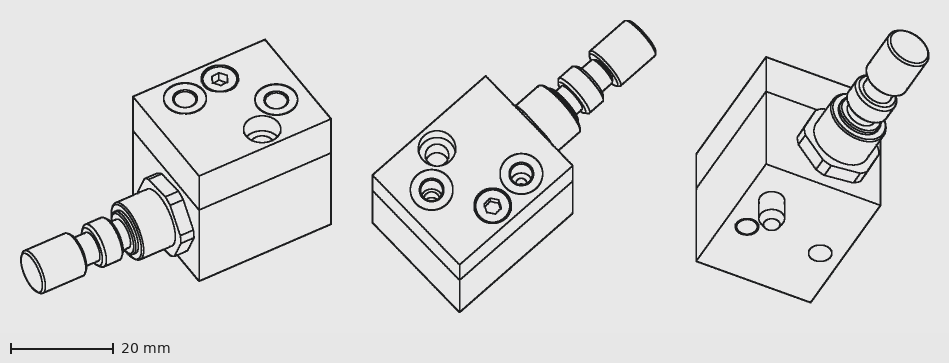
import cadquery as cq
import math


OVERALL_LENGTH = 61.9
HEX_SIDES = 6

BLOCK_WIDTH = 25.0
BLOCK_DEPTH = 30.0
BODY_HEIGHT = 20.0
PLATE_THICKNESS = 9.55
BLOCK_TOP = BODY_HEIGHT + PLATE_THICKNESS

MOUNT_SIDE_INSET = 4.5
MOUNT_Y = 17.0
MOUNT_DIA = 4.5
COUNTERBORE_DIA = 7.25
COUNTERBORE_DEPTH = 4.2
SCREW_POINT = (MOUNT_SIDE_INSET, MOUNT_Y)
MOUNT_POINTS = [SCREW_POINT, (BLOCK_WIDTH - MOUNT_SIDE_INSET, MOUNT_Y)]

FRONT_PORT = (5.6, 8.5)
BACK_PORT = (15.0, 23.5)
PORT_PASSAGES = [(FRONT_PORT, 2.1), (BACK_PORT, 3.1)]
PORT_RECESS_DIA = 8.3
PORT_RECESS_DEPTH = 0.2
PORT_BORE_DIA = 4.3
PORT_BORE_DEPTH = 6.0
PORT_CHAMFER = 0.25

PIN_DIA = 5.0
PIN_LENGTH = 6.55
PIN_TIP_DIA = 3.2
PIN_TAPER_LENGTH = 1.7

HEAD_DIA = 7.0
HEAD_SINK = 0.2
HEAD_HEIGHT = COUNTERBORE_DEPTH - HEAD_SINK
HEAD_CHAMFER = 0.2
SHANK_DIA = 4.0
SOCKET_ACROSS_FLATS = 3.0
SOCKET_TURN = 35.0
SOCKET_DEPTH = 2.0
SOCKET_CONE_DEPTH = 0.9

AXIS_X = 15.0
AXIS_Z = 10.5
NUT_THICKNESS = 3.0
NUT_ACROSS_FLATS = 15.0
NUT_CORNER_DIA = 16.3
NUT_TURN = 7.0

SLEEVE_DIA = 12.1
SLEEVE_END = 10.45
SLEEVE_CHAMFER = 0.3
BUTTON_DIA = 9.05
STEM_DIA = 6.05
COLLAR_END = 11.35
COLLAR_CHAMFER = 0.3
RING_START = 13.55
RING_END = 18.25
RING_CHAMFER = 0.55
STEM_END = 21.9
STEM_CHAMFER = 0.45
BUTTON_END = OVERALL_LENGTH - BLOCK_DEPTH
BUTTON_CHAMFER = 0.45


def cylinder(point, bottom, height, diameter):
    """Upright cylinder centred on an (x, y) point."""
    return cq.Workplane("XY", origin=(*point, bottom)).circle(diameter / 2).extrude(height)


def plunger_step(start, end, diameter):
    """Round length of the plunger between two distances from the front face."""
    plane = cq.Workplane("XZ", origin=(AXIS_X, -start, AXIS_Z))
    return plane.circle(diameter / 2).extrude(end - start)


def hexagon_across_corners(across_flats):
    """Corner-to-corner diameter of a hexagon with the given width across flats."""
    return across_flats / math.cos(math.pi / HEX_SIDES)


def cut_port(plate, point, passage_dia):
    """Shallow seal recess, chamfered bore and a narrow passage through the plate."""
    mouth_z = BLOCK_TOP - PORT_RECESS_DEPTH
    mouth = (
        cq.Workplane("XY", origin=(*point, mouth_z))
        .circle(PORT_BORE_DIA / 2 + PORT_CHAMFER)
        .workplane(offset=-PORT_CHAMFER)
        .circle(PORT_BORE_DIA / 2)
        .loft()
    )
    plate = plate.cut(cylinder(point, BLOCK_TOP, -PORT_RECESS_DEPTH, PORT_RECESS_DIA))
    plate = plate.cut(mouth)
    plate = plate.cut(cylinder(point, BLOCK_TOP, -PORT_BORE_DEPTH, PORT_BORE_DIA))
    return plate.cut(cylinder(point, BLOCK_TOP, -PLATE_THICKNESS, passage_dia))


def make_port_plate():
    """Plate with counterbored mounting holes and threaded ports."""
    plate = cq.Workplane("XY", origin=(0, 0, BODY_HEIGHT)).box(
        BLOCK_WIDTH, BLOCK_DEPTH, PLATE_THICKNESS, centered=False
    )
    for point in MOUNT_POINTS:
        plate = plate.cut(cylinder(point, BODY_HEIGHT, PLATE_THICKNESS, MOUNT_DIA))
        plate = plate.cut(cylinder(point, BLOCK_TOP, -COUNTERBORE_DEPTH, COUNTERBORE_DIA))
    for point, passage_dia in PORT_PASSAGES:
        plate = cut_port(plate, point, passage_dia)
    return plate


def make_nut():
    """Hexagon turned about the plunger axis, its corners rounded by a cylinder."""
    hexagon = (
        cq.Workplane("XZ", origin=(AXIS_X, 0, AXIS_Z))
        .polygon(HEX_SIDES, hexagon_across_corners(NUT_ACROSS_FLATS))
        .extrude(NUT_THICKNESS)
        .rotate((AXIS_X, 0, AXIS_Z), (AXIS_X, 1, AXIS_Z), -NUT_TURN)
    )
    return hexagon.intersect(plunger_step(0, NUT_THICKNESS, NUT_CORNER_DIA))


def make_plunger():
    """Sleeve, collar, stem, ring and end button on one axis."""
    sleeve = plunger_step(0, SLEEVE_END, SLEEVE_DIA).faces("<Y").chamfer(SLEEVE_CHAMFER)
    collar = plunger_step(0, COLLAR_END, BUTTON_DIA).faces("<Y").chamfer(COLLAR_CHAMFER)
    stem = plunger_step(0, STEM_END, STEM_DIA).faces("<Y").chamfer(STEM_CHAMFER)
    ring = plunger_step(RING_START, RING_END, BUTTON_DIA).edges().chamfer(RING_CHAMFER)
    button = plunger_step(STEM_END, BUTTON_END, BUTTON_DIA)
    button = button.faces("<Y or >Y").chamfer(BUTTON_CHAMFER)
    return sleeve.union(collar).union(stem).union(ring).union(button)


def make_pin():
    """Locating pin with a tapered tip."""
    taper_inset = (PIN_DIA - PIN_TIP_DIA) / 2
    pin = cylinder(FRONT_PORT, 0, -PIN_LENGTH, PIN_DIA)
    return pin.faces("<Z").chamfer(PIN_TAPER_LENGTH, taper_inset)


def make_valve_body():
    """Lower block in one piece with the nut, plunger and locating pin."""
    body = cq.Workplane("XY").box(BLOCK_WIDTH, BLOCK_DEPTH, BODY_HEIGHT, centered=False)
    for point in MOUNT_POINTS:
        body = body.cut(cylinder(point, 0, BODY_HEIGHT, MOUNT_DIA))
    return body.union(make_nut()).union(make_plunger()).union(make_pin())


def make_socket():
    """Hexagon recess in the screw head, ending in a cone."""
    corner_dia = hexagon_across_corners(SOCKET_ACROSS_FLATS)
    head_top = BLOCK_TOP - HEAD_SINK
    depth = SOCKET_DEPTH + SOCKET_CONE_DEPTH
    hexagon = (
        cq.Workplane("XY", origin=(*SCREW_POINT, head_top))
        .transformed(rotate=(0, 0, SOCKET_TURN))
        .polygon(HEX_SIDES, corner_dia)
        .extrude(-depth)
    )
    drill = (
        cq.Workplane("XZ", origin=(*SCREW_POINT, head_top))
        .polyline([(0, 0), (corner_dia / 2, 0), (corner_dia / 2, -SOCKET_DEPTH), (0, -depth)])
        .close()
        .revolve(360, (0, 0), (0, 1))
    )
    return hexagon.intersect(drill)


def make_screw():
    """Cap screw resting on the counterbore floor, its shank flush with the bottom face."""
    seat = BLOCK_TOP - COUNTERBORE_DEPTH
    head = cylinder(SCREW_POINT, seat, HEAD_HEIGHT, HEAD_DIA).faces(">Z").chamfer(HEAD_CHAMFER)
    shank = cylinder(SCREW_POINT, 0, seat, SHANK_DIA)
    return head.union(shank).cut(make_socket())


valve_body = make_valve_body()
port_plate = make_port_plate()
screw = make_screw()

result = cq.Compound.makeCompound([valve_body.val(), port_plate.val(), screw.val()])